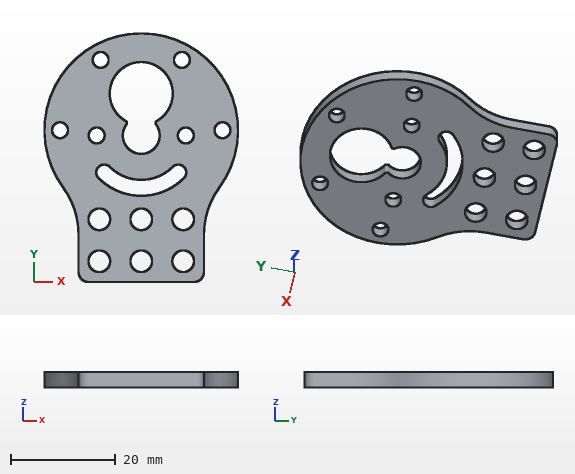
import cadquery as cq
import math

THICKNESS = 3.0
HEAD_RADIUS = 18.5
OVERALL_LENGTH = 47.5
TAB_WIDTH = 24.0
TAB_CORNER_RADIUS = 2.0
NECK_BLEND_RADIUS = 15.0

SCREW_DIAMETER = 3.0
RIM_HOLE_CIRCLE_RADIUS = 15.5
RIM_HOLE_ANGLES = (0, 60, 120, 180)

PIVOT_Y = -1.0
PIVOT_HOLE_OFFSET = 8.5

LARGE_BORE_DIAMETER = 12.0
SMALL_BORE_DIAMETER = 7.0
BORE_SPACING = 8.0
CUSP_RADIUS = 0.5

SLOT_RADIUS = 10.0
SLOT_WIDTH = 3.0
SLOT_HALF_ANGLE = 45.0

GRID_HOLE_DIAMETER = 4.1
GRID_PITCH = 8.0
GRID_COLUMNS = 3
GRID_ROWS = 2
GRID_EDGE_DISTANCE = 4.0

TAB_END_Y = HEAD_RADIUS - OVERALL_LENGTH


def polar(radius, angle_degrees):
    """Point at a radius and an angle measured from +X."""
    angle = math.radians(angle_degrees)
    return (radius * math.cos(angle), radius * math.sin(angle))


def mirrored(point):
    """Point reflected across the plate's centre line."""
    return (-point[0], point[1])


def plate():
    """Solid plate with the head, the concave neck blends and the tab."""
    half_width = TAB_WIDTH / 2
    blend_x = half_width + NECK_BLEND_RADIUS
    centre_distance = HEAD_RADIUS + NECK_BLEND_RADIUS
    blend_y = -math.sqrt(centre_distance**2 - blend_x**2)
    blend_angle = math.degrees(math.atan2(blend_y, blend_x))
    head_end = polar(HEAD_RADIUS, blend_angle)
    tab_start = (half_width, blend_y)
    mid_x, mid_y = polar(NECK_BLEND_RADIUS, 180 + blend_angle / 2)
    blend_mid = (blend_x + mid_x, blend_y + mid_y)

    outline = (
        cq.Workplane("XY")
        .moveTo(*head_end)
        .threePointArc((0, HEAD_RADIUS), mirrored(head_end))
        .threePointArc(mirrored(blend_mid), mirrored(tab_start))
        .lineTo(-half_width, TAB_END_Y)
        .lineTo(half_width, TAB_END_Y)
        .lineTo(*tab_start)
        .threePointArc(blend_mid, head_end)
        .close()
    )
    body = outline.extrude(THICKNESS)
    return body.edges("|Z").edges("<Y").fillet(TAB_CORNER_RADIUS)


def through_holes(points, diameter):
    """Cylinders that cut through the plate at each point."""
    return cq.Workplane("XY").pushPoints(points).circle(diameter / 2).extrude(THICKNESS)


def screw_holes():
    """Four holes around the head rim and two beside the pivot."""
    rim_points = [polar(RIM_HOLE_CIRCLE_RADIUS, angle) for angle in RIM_HOLE_ANGLES]
    pivot_points = [(side * PIVOT_HOLE_OFFSET, PIVOT_Y) for side in (-1, 1)]
    return through_holes(rim_points + pivot_points, SCREW_DIAMETER)


def keyhole():
    """Two overlapping bores with the cusps between them rounded."""
    large_bore = through_holes([(0, PIVOT_Y + BORE_SPACING)], LARGE_BORE_DIAMETER)
    small_bore = through_holes([(0, PIVOT_Y)], SMALL_BORE_DIAMETER)
    large_radius = LARGE_BORE_DIAMETER / 2
    small_radius = SMALL_BORE_DIAMETER / 2
    cusp_height = (BORE_SPACING**2 + small_radius**2 - large_radius**2) / (2 * BORE_SPACING)
    cusp_x = math.sqrt(small_radius**2 - cusp_height**2)
    cutter = large_bore.union(small_bore)
    for side in (-1, 1):
        cusp = (side * cusp_x, PIVOT_Y + cusp_height, THICKNESS / 2)
        cutter = cutter.edges(cq.NearestToPointSelector(cusp)).fillet(CUSP_RADIUS)
    return cutter


def curved_slot():
    """Round-ended slot that follows an arc about the pivot."""
    inner_radius = SLOT_RADIUS - SLOT_WIDTH / 2
    outer_radius = SLOT_RADIUS + SLOT_WIDTH / 2
    end_angle = -90 + SLOT_HALF_ANGLE
    inner_end = polar(inner_radius, end_angle)
    outer_end = polar(outer_radius, end_angle)
    centre_x, centre_y = polar(SLOT_RADIUS, end_angle)
    tip_x, tip_y = polar(SLOT_WIDTH / 2, end_angle + 90)
    tip = (centre_x + tip_x, centre_y + tip_y)
    return (
        cq.Workplane("XY")
        .center(0, PIVOT_Y)
        .moveTo(*mirrored(outer_end))
        .threePointArc((0, -outer_radius), outer_end)
        .threePointArc(tip, inner_end)
        .threePointArc((0, -inner_radius), mirrored(inner_end))
        .threePointArc(mirrored(tip), mirrored(outer_end))
        .close()
        .extrude(THICKNESS)
    )


def grid_holes():
    """Rows of equal holes in the tab, centred on its width."""
    first_x = -GRID_PITCH * (GRID_COLUMNS - 1) / 2
    first_y = TAB_END_Y + GRID_EDGE_DISTANCE
    points = [
        (first_x + column * GRID_PITCH, first_y + row * GRID_PITCH)
        for row in range(GRID_ROWS)
        for column in range(GRID_COLUMNS)
    ]
    return through_holes(points, GRID_HOLE_DIAMETER)


result = plate()
for cutter in (screw_holes(), keyhole(), curved_slot(), grid_holes()):
    result = result.cut(cutter)